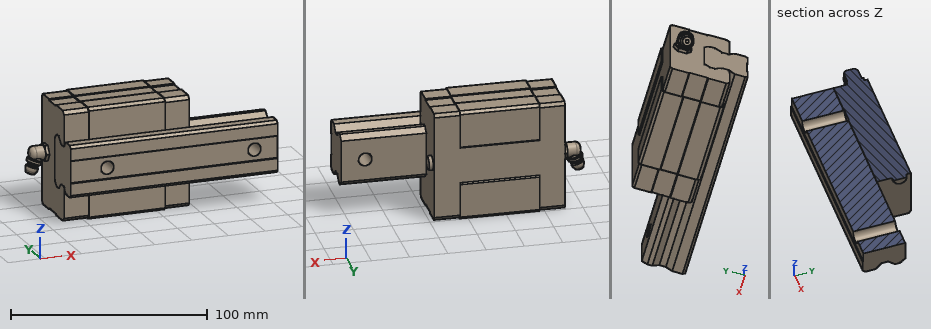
import cadquery as cq
import math


RAIL_LENGTH = 112.7
RAIL_HEIGHT = 23.0
RAIL_HALF_WIDTH = 14.0
RAIL_BASE_CHAMFER = 1.5
RAIL_BASE_HEIGHT = 7.0
RAIL_HEAD_FLANK_BOTTOM = 17.5
RAIL_HEAD_FLANK_TOP = 20.1
RAIL_TOP_HALF_WIDTH = 11.4
WAIST_HALF_WIDTH = 10.7
WAIST_BOTTOM = 10.3
WAIST_TOP = 13.8
BASE_GROOVE_HALF_WIDTH = 6.0
BASE_GROOVE_DEPTH = 0.4

HOLE_DIAMETER = 7.0
HOLE_EDGE_DISTANCE = 20.1
HOLE_PITCH = 80.1
HOLE_COUNT = 2

CAP_LENGTH = 13.4
BLOCK_LENGTH = 41.5
CARRIAGE_LENGTH = BLOCK_LENGTH + 2 * CAP_LENGTH

BLOCK_BOTTOM = 8.9
BLOCK_TOP = 42.0
BLOCK_HALF_WIDTH = 30.0
BLOCK_TOP_CHAMFER = 1.5
BLOCK_BOTTOM_CHAMFER = 1.9
BLOCK_BOTTOM_CHAMFER_WIDTH = 1.5

CAP_INSET = 0.7
CAP_SIDE_INSET = 0.4
CAP_TOP_CHAMFER = 1.2
CAP_BOTTOM_CHAMFER = 1.9
CAP_CHAMFER_WIDTH = 1.9

SIDE_GROOVE_BOTTOM = 21.0
BLOCK_SIDE_GROOVE_TOP = 30.5
CAP_SIDE_GROOVE_TOP = 31.2
BLOCK_SIDE_GROOVE_DEPTH = 0.4
CAP_SIDE_GROOVE_DEPTH = 0.6
SIDE_GROOVE_WALL_RUN = 0.4
TOP_GROOVE_HALF_WIDTH = 10.4
TOP_GROOVE_DEPTH = CAP_INSET

PORT_Y = 34.8
HEX_SIDES = 6
HEX_LENGTH = 1.9
HEX_ACROSS_FLATS = 8.2
HEX_CHAMFER_LENGTH = 0.4
ELBOW_DIAMETER = 7.8
ELBOW_REACH = 9.3
ELBOW_END_FILLET = 2.6
NOZZLE_ORIGIN_X = -5.1
NOZZLE_TILT = 20.5
PLUG_DIAMETER = 7.8
PLUG_LENGTH = 2.0

STEM_RADIUS = 3.5
FLANGE_RADIUS = 8.0 / 2
FLANGE_START = 3.2
FLANGE_FULL_START = 3.7
FLANGE_FULL_END = 5.1
FLANGE_END = 6.0
NECK_RADIUS = 5.5 / 2
NECK_END = 6.8
TIP_RADIUS = 6.6 / 2
TIP_FULL_START = 7.4
TIP_BULGE_RADIUS = 3.3
TIP_BULGE = 8.2
TIP_SHOULDER_RADIUS = 3.0
TIP_SHOULDER = 9.7
TIP_END_RADIUS = 2.4
NOZZLE_LENGTH = 11.0
INLET_RADIUS = 0.9
INLET_DEPTH = 0.6


def extrude_section(half_outline, start, length):
    """Prism along X; half_outline lists (y, z) from bottom to top on the +Z side."""
    mirrored = [(y, -z) for y, z in reversed(half_outline)]
    plane = cq.Workplane("YZ", origin=(start, 0, 0))
    return plane.polyline(half_outline + mirrored).close().extrude(length)


def rail_profile(length):
    """Rail section without the groove in the mounting face."""
    half_outline = [
        (0, RAIL_HALF_WIDTH - RAIL_BASE_CHAMFER),
        (RAIL_BASE_CHAMFER, RAIL_HALF_WIDTH),
        (RAIL_BASE_HEIGHT, RAIL_HALF_WIDTH),
        (WAIST_BOTTOM, WAIST_HALF_WIDTH),
        (WAIST_TOP, WAIST_HALF_WIDTH),
        (RAIL_HEAD_FLANK_BOTTOM, RAIL_HALF_WIDTH),
        (RAIL_HEAD_FLANK_TOP, RAIL_HALF_WIDTH),
        (RAIL_HEIGHT, RAIL_TOP_HALF_WIDTH),
    ]
    return extrude_section(half_outline, 0, length)


def make_rail():
    groove_outline = [
        (0, BASE_GROOVE_HALF_WIDTH + BASE_GROOVE_DEPTH / 2),
        (BASE_GROOVE_DEPTH, BASE_GROOVE_HALF_WIDTH - BASE_GROOVE_DEPTH / 2),
    ]
    rail = rail_profile(RAIL_LENGTH).cut(extrude_section(groove_outline, 0, RAIL_LENGTH))
    for index in range(HOLE_COUNT):
        x = HOLE_EDGE_DISTANCE + index * HOLE_PITCH
        hole = cq.Workplane("XZ", origin=(x, 0, 0)).circle(HOLE_DIAMETER / 2).extrude(-RAIL_HEIGHT)
        rail = rail.cut(hole)
    return rail


def side_groove(groove_top, depth, half_width):
    """Outline points of a shallow groove with sloping walls in a carriage side."""
    return [
        (SIDE_GROOVE_BOTTOM, half_width),
        (SIDE_GROOVE_BOTTOM + SIDE_GROOVE_WALL_RUN, half_width - depth),
        (groove_top - SIDE_GROOVE_WALL_RUN, half_width - depth),
        (groove_top, half_width),
    ]


def make_block():
    """Middle section of the carriage, with shallow grooves in its sides and top."""
    half_outline = [
        (BLOCK_BOTTOM, BLOCK_HALF_WIDTH - BLOCK_BOTTOM_CHAMFER_WIDTH),
        (BLOCK_BOTTOM + BLOCK_BOTTOM_CHAMFER, BLOCK_HALF_WIDTH),
        *side_groove(BLOCK_SIDE_GROOVE_TOP, BLOCK_SIDE_GROOVE_DEPTH, BLOCK_HALF_WIDTH),
        (BLOCK_TOP - BLOCK_TOP_CHAMFER, BLOCK_HALF_WIDTH),
        (BLOCK_TOP, BLOCK_HALF_WIDTH - BLOCK_TOP_CHAMFER),
        (BLOCK_TOP, TOP_GROOVE_HALF_WIDTH),
        (BLOCK_TOP - TOP_GROOVE_DEPTH, TOP_GROOVE_HALF_WIDTH - TOP_GROOVE_DEPTH),
    ]
    return extrude_section(half_outline, CAP_LENGTH, BLOCK_LENGTH)


def make_cap(start):
    """End cap, slightly smaller than the block, with a deeper groove in each side."""
    bottom = BLOCK_BOTTOM + CAP_INSET
    top = BLOCK_TOP - CAP_INSET
    half_width = BLOCK_HALF_WIDTH - CAP_SIDE_INSET
    half_outline = [
        (bottom, half_width - CAP_CHAMFER_WIDTH),
        (bottom + CAP_BOTTOM_CHAMFER, half_width),
        *side_groove(CAP_SIDE_GROOVE_TOP, CAP_SIDE_GROOVE_DEPTH, half_width),
        (top - CAP_TOP_CHAMFER, half_width),
        (top, half_width - CAP_CHAMFER_WIDTH),
    ]
    return extrude_section(half_outline, start, CAP_LENGTH)


def make_elbow():
    """Hexagon and round-ended barrel pointing along -X from the end cap."""
    outward = cq.Plane(origin=(0, PORT_Y, 0), xDir=(0, 1, 0), normal=(-1, 0, 0))
    across_corners = HEX_ACROSS_FLATS / math.cos(math.pi / HEX_SIDES)
    hexagon = cq.Workplane(outward).polygon(HEX_SIDES, across_corners).extrude(HEX_LENGTH)
    corner_trim = cq.Workplane(outward).circle(across_corners / 2).extrude(HEX_LENGTH)
    trim_depth = (across_corners - HEX_ACROSS_FLATS) / 2
    corner_trim = corner_trim.faces("<X").chamfer(HEX_CHAMFER_LENGTH, trim_depth)
    hexagon = hexagon.intersect(corner_trim)
    barrel = cq.Workplane(outward).circle(ELBOW_DIAMETER / 2).extrude(ELBOW_REACH)
    barrel = barrel.faces("<X").edges().fillet(ELBOW_END_FILLET)
    return hexagon.union(barrel)


def make_nozzle():
    """Turned nozzle: stem, flange, neck, bulging tip and conical inlet around a tilted axis."""
    tilt = math.radians(NOZZLE_TILT)
    along = (-math.sin(tilt), 0, -math.cos(tilt))
    radial = (math.cos(tilt), 0, -math.sin(tilt))
    normal = cq.Vector(*radial).cross(cq.Vector(*along))
    plane = cq.Plane(origin=(NOZZLE_ORIGIN_X, PORT_Y, 0), xDir=radial, normal=normal.toTuple())
    half_profile = (
        cq.Workplane(plane)
        .lineTo(STEM_RADIUS, 0)
        .lineTo(STEM_RADIUS, FLANGE_START)
        .lineTo(FLANGE_RADIUS, FLANGE_FULL_START)
        .lineTo(FLANGE_RADIUS, FLANGE_FULL_END)
        .lineTo(NECK_RADIUS, FLANGE_END)
        .lineTo(NECK_RADIUS, NECK_END)
        .lineTo(TIP_RADIUS, TIP_FULL_START)
        .threePointArc((TIP_BULGE_RADIUS, TIP_BULGE), (TIP_SHOULDER_RADIUS, TIP_SHOULDER))
        .lineTo(TIP_END_RADIUS, NOZZLE_LENGTH)
        .lineTo(INLET_RADIUS, NOZZLE_LENGTH)
        .lineTo(0, NOZZLE_LENGTH - INLET_DEPTH)
        .close()
    )
    return half_profile.revolve(360, (0, 0, 0), (0, 1, 0))


def make_plug():
    """Plug on the far end cap, shaped as a slice of a sphere centred on the cap's face."""
    face = cq.Workplane("YZ", origin=(CARRIAGE_LENGTH, PORT_Y, 0))
    return face.circle(PLUG_DIAMETER / 2).extrude(PLUG_LENGTH).intersect(face.sphere(PLUG_DIAMETER / 2))


def make_carriage():
    carriage = make_block()
    for start in (0, CAP_LENGTH + BLOCK_LENGTH):
        carriage = carriage.union(make_cap(start))
    carriage = carriage.cut(rail_profile(RAIL_LENGTH))
    for fitting in (make_elbow(), make_nozzle(), make_plug()):
        carriage = carriage.union(fitting)
    return carriage


rail = make_rail()
carriage = make_carriage()

result = cq.Compound.makeCompound([rail.val(), carriage.val()])